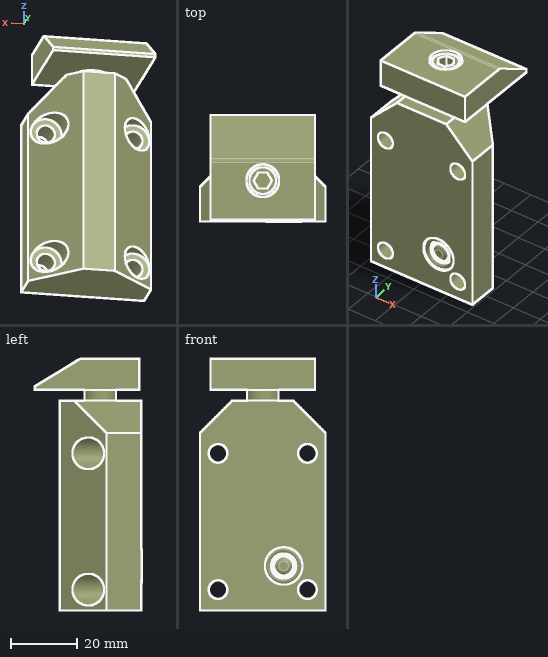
import cadquery as cq
import math

total_height = 76.3

body_width = 38.1
body_depth = 24.8
body_height = 63.6
shoulder = 9.8
straight_side_depth = 10.6

hole_diameter = 5.6
counterbore_diameter = 9.6
hole_spacing_x = 27.1
hole_low_z = 6.3
hole_high_z = 47.6

stem_diameter = 9.6
stem_y = 12.45

head_width = 31.7
head_depth = 31.75
head_height = 9.5
head_front_y = 0.6
head_tip_height = 1.1
head_slope_run = 13.8
head_edge_radius = 2.3

screw_bore_diameter = 10.0
screw_diameter = 9.8
screw_top_diameter = 8.1
screw_bevel_angle = 45
screw_recess = 0.45
socket_sides = 6
socket_across_flats = 4.8
socket_depth = 3.8

button_x = 6.3
button_z = 13.5
ring_outer_radius = 11.4 / 2
ring_inner_radius = 3.8
ring_protrusion = 0.15
button_top_radius = 1.45
button_radius = 2.9
button_flange_radius = 3.3
button_top_depth = 0.2
button_foot_depth = 1.15
button_pocket_depth = 1.2
button_bulge = 0.2


def make_body():
    half = body_width / 2
    half_back = half - (body_depth - straight_side_depth)
    plan = (
        cq.Workplane("XY")
        .polyline([
            (-half, 0),
            (half, 0),
            (half, straight_side_depth),
            (half_back, body_depth),
            (-half_back, body_depth),
            (-half, straight_side_depth),
        ])
        .close()
        .extrude(body_height)
    )
    elevation = (
        cq.Workplane("XZ")
        .polyline([
            (-half, 0),
            (half, 0),
            (half, body_height - shoulder),
            (half - shoulder, body_height),
            (shoulder - half, body_height),
            (-half, body_height - shoulder),
        ])
        .close()
        .extrude(-body_depth)
    )
    return plan.intersect(elevation)


def cut_mounting_holes(body):
    """Through holes, counterbored from the sloping sides down to where the slopes begin."""
    centres = [
        (side * hole_spacing_x / 2, z)
        for side in (-1, 1)
        for z in (hole_low_z, hole_high_z)
    ]
    holes = cq.Workplane("XZ").pushPoints(centres).circle(hole_diameter / 2).extrude(-body_depth)
    counterbores = (
        cq.Workplane("XZ", origin=(0, straight_side_depth, 0))
        .pushPoints(centres)
        .circle(counterbore_diameter / 2)
        .extrude(straight_side_depth - body_depth)
    )
    return body.cut(holes).cut(counterbores)


def turned_about_y(profile):
    """Revolve a (radius, depth) profile about the button axis."""
    return profile.close().revolve(360, (0, 0, 0), (0, 1, 0)).translate((button_x, 0, button_z))


def fit_button(body):
    """Sunken push button inside a round-section ring that stands just proud of the front face."""
    section_radius = (ring_outer_radius - ring_inner_radius) / 2
    ring_middle_radius = ring_inner_radius + section_radius
    ring_depth = section_radius - ring_protrusion
    pocket = turned_about_y(
        cq.Workplane("XY")
        .moveTo(0, 0)
        .lineTo(ring_outer_radius, 0)
        .lineTo(ring_outer_radius, ring_depth)
        .lineTo(ring_inner_radius, ring_depth)
        .lineTo(ring_inner_radius, button_pocket_depth)
        .lineTo(0, button_pocket_depth)
    )
    ring = turned_about_y(
        cq.Workplane("XY")
        .moveTo(ring_inner_radius, ring_depth)
        .threePointArc((ring_middle_radius, -ring_protrusion), (ring_outer_radius, ring_depth))
    )
    button = turned_about_y(
        cq.Workplane("XY")
        .moveTo(0, button_top_depth)
        .lineTo(button_top_radius, button_top_depth)
        .sagittaArc((button_radius, button_foot_depth), -button_bulge)
        .lineTo(button_flange_radius, button_foot_depth)
        .lineTo(button_flange_radius, button_pocket_depth)
        .lineTo(0, button_pocket_depth)
    )
    return body.cut(pocket).union(ring).union(button)


def make_head():
    """Clamping head: a bar whose back slopes down to a thin tip."""
    bottom = total_height - head_height
    back = head_front_y + head_depth
    outline = [
        (head_front_y, bottom),
        (back, bottom),
        (back, bottom + head_tip_height),
        (back - head_slope_run, total_height),
        (head_front_y, total_height),
    ]
    head = cq.Workplane("YZ").polyline(outline).close().extrude(head_width / 2, both=True)
    slope_edge = cq.selectors.NearestToPointSelector((0, back - head_slope_run, total_height))
    return head.edges(slope_edge).fillet(head_edge_radius)


def fit_screw(head):
    """Hex socket screw with a bevelled rim, sunk into a slightly larger bore."""
    bevel_width = (screw_diameter - screw_top_diameter) / 2
    bevel = bevel_width / math.tan(math.radians(screw_bevel_angle))
    bore_depth = screw_recess + bevel
    floor = cq.Workplane("XY", origin=(0, stem_y, total_height - bore_depth))
    bore = floor.circle(screw_bore_diameter / 2).extrude(bore_depth)
    screw_top = floor.circle(screw_diameter / 2).extrude(bevel, taper=screw_bevel_angle)
    socket_corner_diameter = socket_across_flats / math.cos(math.pi / socket_sides)
    socket = (
        cq.Workplane("XY", origin=(0, stem_y, total_height - screw_recess))
        .polygon(socket_sides, socket_corner_diameter)
        .extrude(-socket_depth)
    )
    return head.cut(bore).union(screw_top).cut(socket)


def make_stem():
    length = total_height - head_height - body_height
    return (
        cq.Workplane("XY", origin=(0, stem_y, body_height))
        .circle(stem_diameter / 2)
        .extrude(length)
    )


body = fit_button(cut_mounting_holes(make_body()))
head = fit_screw(make_head())
result = body.union(make_stem()).union(head)